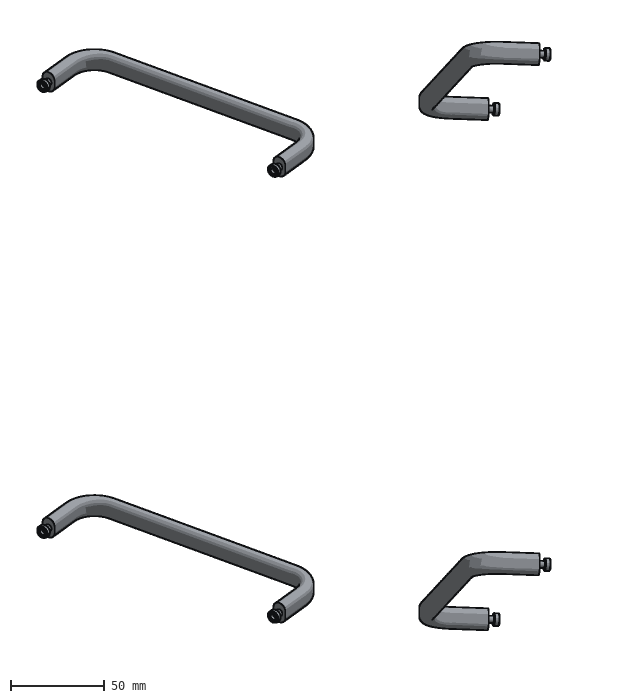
import cadquery as cq
import math


HANDLE_LENGTH = 160.0
HANDLE_REACH = 40.0
BAR_WIDTH = 8.0
BAR_HEIGHT = 12.0
BEND_RADIUS = 16.0
HANDLE_PITCH = 279.0

STUD_LENGTH = 6.2
NECK_DIAMETER = 4.0
HEAD_DIAMETER = 7.0
HEAD_HEIGHT = 3.2
HEAD_CHAMFER = 0.5

COUNTERSINK_DIAMETER = 4.13
COUNTERSINK_DEPTH = 0.5
HOLE_DEPTH = 3.0
DRILL_POINT_ANGLE = 120.0

leg_x = (HANDLE_LENGTH - BAR_WIDTH) / 2
bar_y = HANDLE_REACH - BAR_WIDTH / 2
bend_x = leg_x - BEND_RADIUS
bend_y = bar_y - BEND_RADIUS

neck_radius = NECK_DIAMETER / 2
head_radius = HEAD_DIAMETER / 2
countersink_radius = COUNTERSINK_DIAMETER / 2
hole_radius = countersink_radius - COUNTERSINK_DEPTH
drill_point_depth = hole_radius / math.tan(math.radians(DRILL_POINT_ANGLE / 2))


def make_handle(z):
    """U-shaped handle with its leg ends on the plane Y = 0."""
    bend_diagonal = BEND_RADIUS * math.sqrt(0.5)
    centre_line = (
        cq.Workplane("XY", origin=(0, 0, z))
        .moveTo(-leg_x, 0)
        .lineTo(-leg_x, bend_y)
        .threePointArc((-bend_x - bend_diagonal, bend_y + bend_diagonal), (-bend_x, bar_y))
        .lineTo(bend_x, bar_y)
        .threePointArc((bend_x + bend_diagonal, bend_y + bend_diagonal), (leg_x, bend_y))
        .lineTo(leg_x, 0)
    )
    return (
        cq.Workplane("XZ", origin=(-leg_x, 0, z))
        .slot2D(BAR_HEIGHT, BAR_WIDTH, angle=90)
        .sweep(centre_line)
    )


def make_stud(x, z):
    """Stud turned about a Y axis, from its head face up to the leg end at Y = 0."""
    half_section = [
        (0, HOLE_DEPTH + drill_point_depth),
        (hole_radius, HOLE_DEPTH),
        (hole_radius, COUNTERSINK_DEPTH),
        (countersink_radius, 0),
        (head_radius - HEAD_CHAMFER, 0),
        (head_radius, HEAD_CHAMFER),
        (head_radius, HEAD_HEIGHT - HEAD_CHAMFER),
        (head_radius - HEAD_CHAMFER, HEAD_HEIGHT),
        (neck_radius, HEAD_HEIGHT),
        (neck_radius, STUD_LENGTH),
        (0, STUD_LENGTH),
    ]
    return (
        cq.Workplane("XY", origin=(x, -STUD_LENGTH, z))
        .polyline(half_section)
        .close()
        .revolve(360, (0, 0, 0), (0, 1, 0))
    )


bodies = []
for handle_z in (-HANDLE_PITCH / 2, HANDLE_PITCH / 2):
    bodies.append(make_handle(handle_z).val())
    for stud_x in (-leg_x, leg_x):
        bodies.append(make_stud(stud_x, handle_z).val())

result = cq.Compound.makeCompound(bodies)